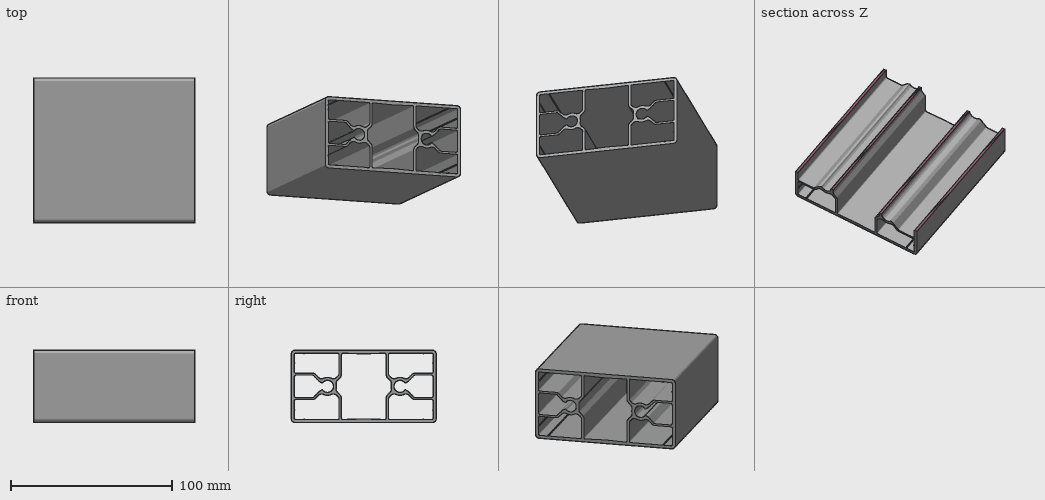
import cadquery as cq
import math

length = 100.0
width = 90.0
height = 45.0
corner_radius = 2.5
wall = 2.0
inner_y = width / 2 - wall
inner_z = height / 2 - wall

web_centre_face = 13.8
web_side_face = 15.4
web_bend_radius = 3.0
web_side_bend_radius = web_bend_radius - (web_side_face - web_centre_face)
neck_offset = 20.0

boss_y = width / 4
boss_radius = 5.6
boss_root_radius = 2.8
bore_radius = 3.7
mouth_half_angle = 31.0
lip_radius = 0.2
mouth_bend_radius = 1.0

rib_outer_z = 8.2
rib_inner_z = 7.0
rib_outer_bend_y = boss_y + rib_outer_z
rib_axis_gap = 2.0
rib_inner_apex_y = boss_y + rib_axis_gap
rib_inner_bend_y = rib_inner_apex_y + rib_inner_z
rib_inner_bend_radius = 1.0
rib_outer_bend_radius = rib_inner_bend_radius + rib_outer_z - rib_inner_z

chamber_radius = 0.8
mouth_chamber_radius = 1.2
wall_crown = 0.4
ridge_setback = 8.0
ridge_side = 0.5


def prism(points):
    """Extrude a closed (y, z) outline along the full length."""
    return cq.Workplane("YZ").polyline(points).close().extrude(length)


def rod(radius):
    """Full-length cylinder on the boss axis."""
    return cq.Workplane("YZ").center(boss_y, 0).circle(radius).extrude(length)


def round_edge(body, y, z, radius):
    """Fillet the lengthwise edge nearest to (y, z)."""
    edge = cq.selectors.NearestToPointSelector((length / 2, y, z))
    return body.edges("|X").edges(edge).fillet(radius)


def mirrored(body, plane):
    """Join a body to its mirror image."""
    return body.union(body.mirror(plane))


def boss_junction(axis_gap):
    """Offsets (y, z) from the boss axis to where a 45-degree face meets the boss.

    The face crosses the mid plane at axis_gap from the boss axis.
    """
    distance = axis_gap * math.sqrt(0.5)
    along = math.sqrt(boss_radius ** 2 - distance ** 2)
    return (along + distance) * math.sqrt(0.5), (along - distance) * math.sqrt(0.5)


def centre_chamber():
    """Chamber between the webs, bulged in by both bosses."""
    quarter = [
        (0, inner_z - wall_crown),
        (web_centre_face, inner_z),
        (web_centre_face, neck_offset - web_centre_face),
        (neck_offset, 0),
        (0, 0),
    ]
    body = prism(quarter)
    body = round_edge(body, *quarter[1], chamber_radius)
    body = round_edge(body, *quarter[2], web_bend_radius)
    body = mirrored(body, "XY").cut(rod(boss_radius))
    junction_y, junction_z = boss_junction(boss_y - neck_offset)
    for side in (1, -1):
        body = round_edge(body, boss_y - junction_y, side * junction_z, boss_root_radius)
    return mirrored(body, "XZ")


def ridge(y, z):
    """Full-length square bar set on edge, so half of it stands proud of the wall."""
    bar = cq.Workplane("YZ").center(y, z).rect(ridge_side, ridge_side).extrude(length)
    return bar.rotate((0, y, z), (1, y, z), 45)


def corner_chamber():
    """Chamber between the upper +Y rib, the boss and the +Y web."""
    outline = [
        (web_side_face, inner_z),
        (inner_y, inner_z),
        (inner_y, rib_outer_z),
        (rib_outer_bend_y, rib_outer_z),
        (boss_y, 0),
        (web_side_face, boss_y - web_side_face),
    ]
    body = prism(outline).cut(rod(boss_radius))
    junction_y, junction_z = boss_junction(0)
    for side in (1, -1):
        body = round_edge(body, boss_y + side * junction_y, junction_z, boss_root_radius)
    for y, z in outline[:3]:
        body = round_edge(body, y, z, chamber_radius)
    body = round_edge(body, *outline[3], rib_outer_bend_radius)
    body = round_edge(body, *outline[5], web_side_bend_radius)
    body = body.cut(ridge(inner_y, height / 2 - ridge_setback))
    return body.cut(ridge(width / 2 - ridge_setback, inner_z))


def mouth_chamber():
    """Chamber between the two +Y ribs, joined to the bore through the mouth of the boss."""
    mouth_slope = math.tan(math.radians(mouth_half_angle))
    mouth_y = rib_axis_gap / (1 - mouth_slope)
    mouth_z = mouth_y * mouth_slope
    upper_outline = [
        (inner_y, rib_inner_z),
        (rib_inner_bend_y, rib_inner_z),
        (boss_y + mouth_y, mouth_z),
    ]
    lower_outline = [(y, -z) for y, z in reversed(upper_outline)]
    body = prism(upper_outline + [(boss_y, 0)] + lower_outline).union(rod(bore_radius))
    lip_y = bore_radius * math.cos(math.radians(mouth_half_angle))
    lip_z = lip_y * mouth_slope
    for side in (1, -1):
        body = round_edge(body, inner_y, side * rib_inner_z, mouth_chamber_radius)
        body = round_edge(body, rib_inner_bend_y, side * rib_inner_z, rib_inner_bend_radius)
        body = round_edge(body, boss_y + mouth_y, side * mouth_z, mouth_bend_radius)
        body = round_edge(body, boss_y + lip_y, side * lip_z, lip_radius)
    return body


result = cq.Workplane("YZ").rect(width, height).extrude(length)
result = result.edges("|X").fillet(corner_radius)
result = result.cut(centre_chamber())

upper_corner = corner_chamber()
side_chambers = [upper_corner, upper_corner.mirror("XY"), mouth_chamber()]
for chamber in side_chambers:
    result = result.cut(chamber).cut(chamber.mirror("XZ"))